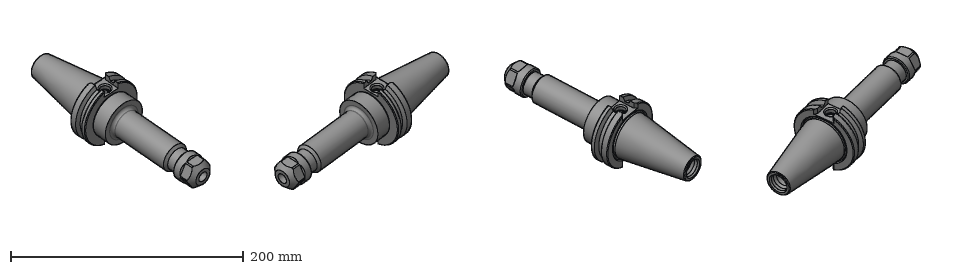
import cadquery as cq
import math

TAPER_END = 68.0
FLANGE_BACK = 69.0
FLANGE_FRONT = 87.4
HUB_END = 102.8
SHAFT_END = 168.5
NUT_BACK = 178.0
NUT_FRONT = 200.8

HUB_R = 44.4 / 2
TAPER_SMALL_R = 12.3
TAPER_LARGE_R = HUB_R
TAPER_CHAMFER = 0.8
FLANGE_R = 63.3 / 2
FLANGE_CHAMFER = 0.8
FLANGE_NECK_R = 44.0 / 2
FLANGE_NECK_WIDTH = 0.6
SHAFT_R = 27.5 / 2
SHAFT_FILLET = 3.2
NECK_R = 22.0 / 2
SHAFT_CHAMFER = 2.5

GROOVE_CENTRE = 79.5
GROOVE_FLOOR_R = 28.1
GROOVE_FLOOR_WIDTH = 3.6
GROOVE_FLANK_ANGLE = 30.0
RELIEF_OUTER_R = 24.3
RELIEF_FLOOR_R = 23.3
RELIEF_DEPTH = 1.0

SLOT_WIDTH = 16.3
SLOT_CHAMFER = 2.5
UPPER_SLOT_FLOOR = 24.5
LOWER_SLOT_FLOOR = 22.5

DIMPLE_MOUTH_R = 6.0
DIMPLE_R = 9.6 / 2
DIMPLE_TIP_R = 8.0 / 2
DIMPLE_DEPTH = 5.0
DIMPLE_TIP_DRILL_DEPTH = 6.5
DRILL_HALF_ANGLE = 59.0

MOUTH_R = 9.2
THREAD_R = 16.5 / 2
PILOT_R = 13.5 / 2
BORE_R = 9.6 / 2
THREAD_DEPTH = 4.8
PILOT_DEPTH = 32.1
BORE_CONE_HALF_ANGLE = 30.0

NUT_R = 28.0 / 2
NUT_FACE_R = 16.9 / 2
NUT_BACK_CHAMFER = 1.0
HEX_SIDES = 6
HEX_ACROSS_FLATS = 25.0
HEX_START = 187.2
HEX_RUNOUT = 1.2
SEAT_DEPTH = 8.0


def revolve(points):
    """Solid of revolution about the X axis from (x, radius) points."""
    return cq.Workplane("XY").polyline(points).close().revolve(360, (0, 0, 0), (1, 0, 0))


def cone_length(large_r, small_r, half_angle):
    """Axial length of a cone between two radii."""
    return (large_r - small_r) / math.tan(math.radians(half_angle))


def make_holder_blank():
    """Turned outside of the holder, solid, up to the end of the neck inside the nut."""
    seat_end = NUT_BACK + SEAT_DEPTH
    neck_step = HUB_R - FLANGE_NECK_R
    fillet_start_r = SHAFT_R + SHAFT_FILLET
    arc_inset = SHAFT_FILLET * (1 - math.sqrt(0.5))
    profile = (
        cq.Workplane("XY")
        .moveTo(0, 0)
        .lineTo(0, TAPER_SMALL_R - TAPER_CHAMFER)
        .lineTo(TAPER_CHAMFER, TAPER_SMALL_R)
        .lineTo(TAPER_END, TAPER_LARGE_R)
        .lineTo(TAPER_END + neck_step, FLANGE_NECK_R)
        .lineTo(FLANGE_BACK + RELIEF_DEPTH, FLANGE_NECK_R)
        .lineTo(FLANGE_BACK + RELIEF_DEPTH, RELIEF_FLOOR_R)
        .lineTo(FLANGE_BACK, RELIEF_OUTER_R)
        .lineTo(FLANGE_BACK, FLANGE_R - FLANGE_CHAMFER)
        .lineTo(FLANGE_BACK + FLANGE_CHAMFER, FLANGE_R)
        .lineTo(FLANGE_FRONT - FLANGE_CHAMFER, FLANGE_R)
        .lineTo(FLANGE_FRONT, FLANGE_R - FLANGE_CHAMFER)
        .lineTo(FLANGE_FRONT, FLANGE_NECK_R)
        .lineTo(FLANGE_FRONT + FLANGE_NECK_WIDTH - neck_step, FLANGE_NECK_R)
        .lineTo(FLANGE_FRONT + FLANGE_NECK_WIDTH, HUB_R)
        .lineTo(HUB_END, HUB_R)
        .lineTo(HUB_END, fillet_start_r)
        .threePointArc(
            (HUB_END + arc_inset, SHAFT_R + arc_inset),
            (HUB_END + SHAFT_FILLET, SHAFT_R),
        )
        .lineTo(SHAFT_END - SHAFT_CHAMFER, SHAFT_R)
        .lineTo(SHAFT_END, NECK_R)
        .lineTo(seat_end, NECK_R)
        .lineTo(seat_end, 0)
        .close()
    )
    return profile.revolve(360, (0, 0, 0), (1, 0, 0))


def make_flange_groove():
    """Ring removed from the flange to leave its vee groove."""
    half_floor = GROOVE_FLOOR_WIDTH / 2
    flank = (FLANGE_R - GROOVE_FLOOR_R) * math.tan(math.radians(GROOVE_FLANK_ANGLE))
    return revolve([
        (GROOVE_CENTRE - half_floor - flank, FLANGE_R),
        (GROOVE_CENTRE - half_floor, GROOVE_FLOOR_R),
        (GROOVE_CENTRE + half_floor, GROOVE_FLOOR_R),
        (GROOVE_CENTRE + half_floor + flank, FLANGE_R),
    ])


def make_upward_slot(floor):
    """Drive slot above the axis, flared where it opens in the back face of the flange."""
    half = SLOT_WIDTH / 2
    outline = [
        (FLANGE_BACK, -half - SLOT_CHAMFER),
        (FLANGE_BACK + SLOT_CHAMFER, -half),
        (FLANGE_FRONT, -half),
        (FLANGE_FRONT, half),
        (FLANGE_BACK + SLOT_CHAMFER, half),
        (FLANGE_BACK, half + SLOT_CHAMFER),
    ]
    return cq.Workplane("XY").workplane(offset=floor).polyline(outline).close().extrude(FLANGE_R - floor)


def make_dimple():
    """Chamfered blind hole with a smaller drilled point, sunk into the upper slot floor."""
    shoulder = UPPER_SLOT_FLOOR - DIMPLE_DEPTH
    tip_start = UPPER_SLOT_FLOOR - DIMPLE_TIP_DRILL_DEPTH
    outline = [
        (0, UPPER_SLOT_FLOOR),
        (DIMPLE_MOUTH_R, UPPER_SLOT_FLOOR),
        (DIMPLE_R, UPPER_SLOT_FLOOR - (DIMPLE_MOUTH_R - DIMPLE_R)),
        (DIMPLE_R, shoulder),
        (DIMPLE_TIP_R, shoulder),
        (DIMPLE_TIP_R, tip_start),
        (0, tip_start - cone_length(DIMPLE_TIP_R, 0, DRILL_HALF_ANGLE)),
    ]
    dimple = cq.Workplane("XZ").polyline(outline).close().revolve(360, (0, 0, 0), (0, 1, 0))
    return dimple.translate((GROOVE_CENTRE, 0, 0))


def make_bore():
    """Stepped drawbar bore, running out as a plain hole through the whole tool."""
    return revolve([
        (0, 0),
        (0, MOUTH_R),
        (cone_length(MOUTH_R, THREAD_R, BORE_CONE_HALF_ANGLE), THREAD_R),
        (THREAD_DEPTH, THREAD_R),
        (THREAD_DEPTH + cone_length(THREAD_R, PILOT_R, BORE_CONE_HALF_ANGLE), PILOT_R),
        (PILOT_DEPTH, PILOT_R),
        (PILOT_DEPTH + cone_length(PILOT_R, BORE_R, BORE_CONE_HALF_ANGLE), BORE_R),
        (NUT_FRONT, BORE_R),
        (NUT_FRONT, 0),
    ])


def make_holder():
    """Taper shank, flange, hub, shaft and neck in one piece."""
    upper_slot = make_upward_slot(UPPER_SLOT_FLOOR)
    lower_slot = make_upward_slot(LOWER_SLOT_FLOOR).rotate((0, 0, 0), (1, 0, 0), 180)
    return (
        make_holder_blank()
        .cut(make_flange_groove())
        .cut(upper_slot)
        .cut(lower_slot)
        .cut(make_dimple())
        .cut(make_bore())
    )


def make_flat_cut():
    """Material removed above one hexagon flat, with a ramp running out into the collar."""
    flat = HEX_ACROSS_FLATS / 2
    outline = [
        (NUT_FRONT, flat),
        (HEX_START, flat),
        (HEX_START - HEX_RUNOUT, NUT_R),
        (NUT_FRONT, NUT_R),
    ]
    return cq.Workplane("XZ").polyline(outline).close().extrude(NUT_R, both=True)


def make_nut():
    """Hexagon nut with a round collar, a conical front and a seat for the neck."""
    face_cone = NUT_R - NUT_FACE_R
    nut = revolve([
        (NUT_BACK, BORE_R),
        (NUT_BACK, NUT_R - NUT_BACK_CHAMFER),
        (NUT_BACK + NUT_BACK_CHAMFER, NUT_R),
        (NUT_FRONT - face_cone, NUT_R),
        (NUT_FRONT, NUT_FACE_R),
        (NUT_FRONT, BORE_R),
    ])
    flat_cut = make_flat_cut()
    for side in range(HEX_SIDES):
        nut = nut.cut(flat_cut.rotate((0, 0, 0), (1, 0, 0), 360 / HEX_SIDES * side))
    seat = cq.Workplane("YZ").workplane(offset=NUT_BACK).circle(NECK_R).extrude(SEAT_DEPTH)
    return nut.cut(seat)


holder = make_holder()
nut = make_nut()
result = cq.Compound.makeCompound([holder.val(), nut.val()])